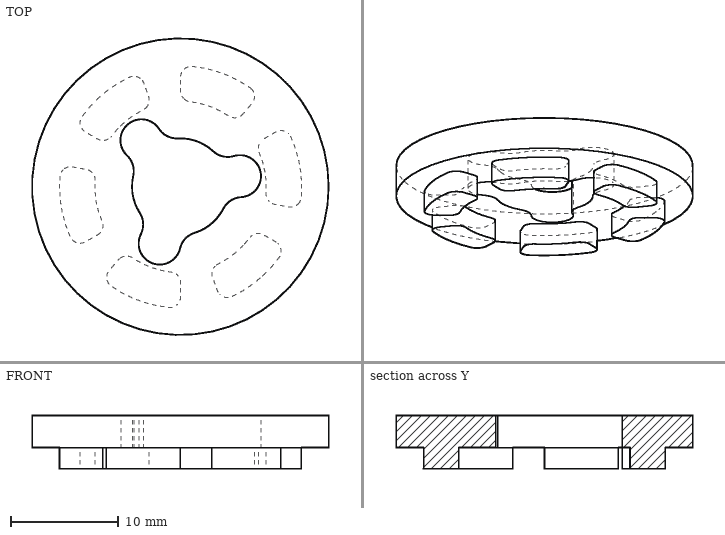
import cadquery as cq
import math

flange_diameter = 27.7
flange_thickness = 3.0

foot_count = 6
foot_height = 2.0
foot_outer_radius = 11.3
foot_inner_radius = 8.0
foot_span_angle = 40.5
foot_corner_radius = 1.0
first_foot_angle = 9.75

lobe_count = 3
core_radius = 4.5
lobe_radius = 1.95
lobe_center_radius = 5.65
neck_blend_radius = 2.0
first_lobe_angle = 10.0


def polar(radius, angle):
    """Return the XY point at a radius and an angle in degrees."""
    radians = math.radians(angle)
    return (radius * math.cos(radians), radius * math.sin(radians))


def point_between(start, end, distance):
    """Return the point at a distance from start, on the line towards end."""
    fraction = distance / math.dist(start, end)
    return tuple(s + fraction * (e - s) for s, e in zip(start, end))


def make_flange():
    """Disc resting on top of the feet."""
    return (
        cq.Workplane("XY")
        .workplane(offset=foot_height)
        .circle(flange_diameter / 2)
        .extrude(flange_thickness)
    )


def make_opening():
    """Lobed prism; each neck arc is tangent to the core and to its lobe."""
    spacing = 360 / lobe_count
    origin = (0, 0)

    neck_center_radius = core_radius + neck_blend_radius
    neck_to_lobe = lobe_radius + neck_blend_radius
    neck_cosine = (neck_center_radius**2 + lobe_center_radius**2 - neck_to_lobe**2) / (
        2 * neck_center_radius * lobe_center_radius
    )
    neck_angle = math.degrees(math.acos(neck_cosine))

    def neck_points(lobe_angle, side):
        """Return the core end, middle and lobe end of one neck arc."""
        lobe_center = polar(lobe_center_radius, lobe_angle)
        neck_center = polar(neck_center_radius, lobe_angle + side * neck_angle)
        core_end = point_between(neck_center, origin, neck_blend_radius)
        lobe_end = point_between(neck_center, lobe_center, neck_blend_radius)
        chord_middle = point_between(core_end, lobe_end, math.dist(core_end, lobe_end) / 2)
        middle = point_between(neck_center, chord_middle, neck_blend_radius)
        return core_end, middle, lobe_end

    outline = (
        cq.Workplane("XY")
        .workplane(offset=foot_height)
        .moveTo(*polar(core_radius, first_lobe_angle - neck_angle))
    )
    for index in range(lobe_count):
        lobe_angle = first_lobe_angle + index * spacing
        lobe_tip = polar(lobe_center_radius + lobe_radius, lobe_angle)
        core_middle = polar(core_radius, lobe_angle + spacing / 2)
        next_core_end = polar(core_radius, lobe_angle + spacing - neck_angle)
        _, entry_middle, lobe_start = neck_points(lobe_angle, -1)
        core_start, exit_middle, lobe_end = neck_points(lobe_angle, 1)
        outline = (
            outline.threePointArc(entry_middle, lobe_start)
            .threePointArc(lobe_tip, lobe_end)
            .threePointArc(exit_middle, core_start)
            .threePointArc(core_middle, next_core_end)
        )
    return outline.close().extrude(flange_thickness)


def make_foot(center_angle):
    """Ring segment with straight radial ends and rounded corners."""
    start_angle = center_angle - foot_span_angle / 2
    end_angle = center_angle + foot_span_angle / 2
    return (
        cq.Workplane("XY")
        .moveTo(*polar(foot_inner_radius, start_angle))
        .lineTo(*polar(foot_outer_radius, start_angle))
        .threePointArc(polar(foot_outer_radius, center_angle), polar(foot_outer_radius, end_angle))
        .lineTo(*polar(foot_inner_radius, end_angle))
        .threePointArc(polar(foot_inner_radius, center_angle), polar(foot_inner_radius, start_angle))
        .close()
        .extrude(foot_height)
        .edges("|Z")
        .fillet(foot_corner_radius)
    )


result = make_flange().cut(make_opening())
for foot_index in range(foot_count):
    foot_angle = first_foot_angle + foot_index * 360 / foot_count
    result = result.union(make_foot(foot_angle))